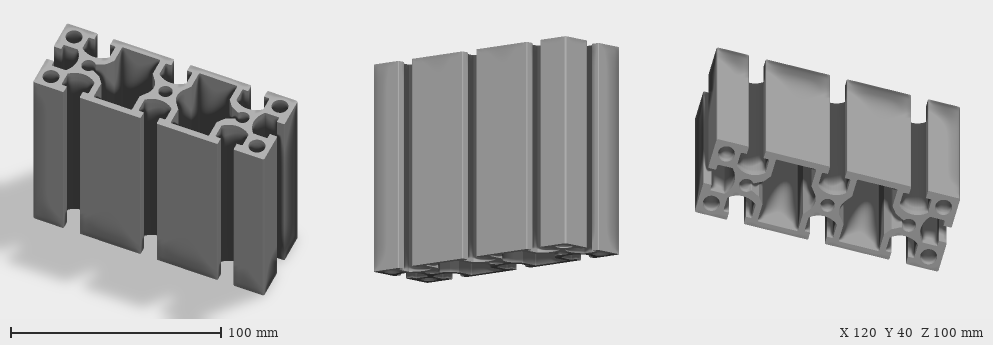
import cadquery as cq
import math

length = 120.0
module = length / 3
width = module
height = 100.0
edge_radius = 1.0

slot_opening = 8.3
lip_thickness = 4.0
slot_cavity_width = 14.0
slot_wall_depth = 11.3
slot_depth = 14.0
slot_corner_radius = 0.6
lip_radius = 0.5

core_hole_diameter = 6.8
corner_hole_diameter = 8.0
corner_hole_inset = 6.5

chamber_width = 19.9
chamber_height = 33.8
chamber_bulge_span = 15.4
chamber_bulge_width = 27.8
chamber_bulge_arc_span = 9.6
chamber_bulge_shoulder = 2.2
chamber_corner_radius = 0.6

neck_width = 3.6
neck_tip_radius = 0.5
flare_width = 8.4
flare_offset = 7.5


def extrude_outline(outline):
    """Close an outline and extrude it over the full height."""
    return outline.close().extrude(height)


def slot_cutter():
    """T-slot with a rounded floor, opening toward +Y at y = 0 and centred on x = 0."""
    half_opening = slot_opening / 2
    half_cavity = slot_cavity_width / 2
    opening = extrude_outline(
        cq.Workplane("XY")
        .moveTo(-half_opening - lip_radius, 0)
        .radiusArc((-half_opening, -lip_radius), lip_radius)
        .lineTo(-half_opening, -slot_wall_depth)
        .lineTo(half_opening, -slot_wall_depth)
        .lineTo(half_opening, -lip_radius)
        .radiusArc((half_opening + lip_radius, 0), lip_radius)
    )
    cavity = extrude_outline(
        cq.Workplane("XY")
        .moveTo(-half_cavity, -slot_wall_depth)
        .threePointArc((0, -slot_depth), (half_cavity, -slot_wall_depth))
        .lineTo(half_cavity, -lip_thickness)
        .lineTo(-half_cavity, -lip_thickness)
    )
    cavity = cavity.faces(">Y").edges("|Z").fillet(slot_corner_radius)
    return opening.union(cavity)


def chamber_cutter():
    """Rectangular chamber whose left and right walls bulge outward at mid-height."""
    half_width = chamber_width / 2
    half_span = chamber_bulge_span / 2
    half_bulge = chamber_bulge_width / 2
    box = (
        cq.Workplane("XY")
        .rect(chamber_width, chamber_height)
        .extrude(height)
        .edges("|Z")
        .fillet(chamber_corner_radius)
    )
    arc_x = half_width + chamber_bulge_shoulder
    arc_y = chamber_bulge_arc_span / 2
    bulges = extrude_outline(
        cq.Workplane("XY")
        .moveTo(-half_width, -half_span)
        .lineTo(half_width, -half_span)
        .lineTo(arc_x, -arc_y)
        .threePointArc((half_bulge, 0), (arc_x, arc_y))
        .lineTo(half_width, half_span)
        .lineTo(-half_width, half_span)
        .lineTo(-arc_x, arc_y)
        .threePointArc((-half_bulge, 0), (-arc_x, -arc_y))
    )
    return box.union(bulges)


def keyhole_cutter():
    """Core hole at the origin, opening through a rounded neck into a passage that flares toward +X."""
    hole_radius = core_hole_diameter / 2
    half_neck = neck_width / 2
    neck_x = math.sqrt(hole_radius**2 - half_neck**2)
    keyhole = extrude_outline(
        cq.Workplane("XY")
        .moveTo(neck_x, half_neck)
        .threePointArc((-hole_radius, 0), (neck_x, -half_neck))
        .lineTo(flare_offset, -flare_width / 2)
        .lineTo(flare_offset, flare_width / 2)
    )
    neck_edges = cq.selectors.BoxSelector((0, -neck_width, 0), (2 * neck_x, neck_width, height))
    return keyhole.edges("|Z").edges(neck_edges).fillet(neck_tip_radius)


body = cq.Workplane("XY").rect(length, width).extrude(height)
body = body.edges("|Z").fillet(edge_radius)

slot = slot_cutter()
for x in (-module, 0, module):
    side_slot = slot.translate((x, width / 2, 0))
    body = body.cut(side_slot).cut(side_slot.mirror("XZ"))
end_slot = slot.rotate((0, 0, 0), (0, 0, 1), -90).translate((length / 2, 0, 0))
body = body.cut(end_slot).cut(end_slot.mirror("YZ"))

left_chamber = chamber_cutter().translate((-module / 2, 0, 0))
left_keyhole = keyhole_cutter().translate((-module, 0, 0))
for cutter in (left_chamber, left_keyhole):
    body = body.cut(cutter).cut(cutter.mirror("YZ"))

centre_hole = cq.Workplane("XY").circle(core_hole_diameter / 2).extrude(height)
corner_holes = (
    cq.Workplane("XY")
    .rarray(length - 2 * corner_hole_inset, width - 2 * corner_hole_inset, 2, 2)
    .circle(corner_hole_diameter / 2)
    .extrude(height)
)
result = body.cut(centre_hole).cut(corner_holes)